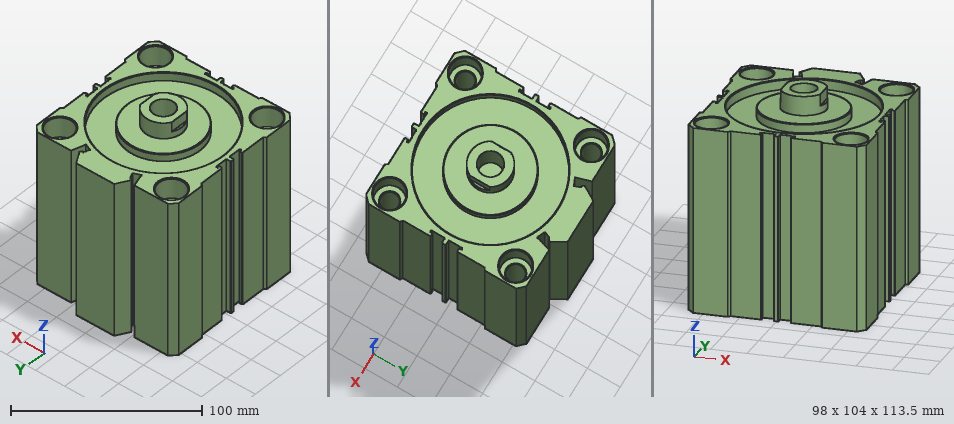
import cadquery as cq

body_width = 98.0
half_width = body_width / 2
body_height = 103.5
total_height = 113.5

corner_chamfer = 4.0
panel_recess = 1.5
panel_half_outer = 26.0
panel_half_inner = 25.0

slot_depth = 4.5
slot_mouth_half = 8.1
slot_floor_half = 9.5
lip_depth = 3.5
rib_half = 1.2
slot_edge_chamfer = 0.3

rail_height = 6.0
rail_top_half = 13.0
rail_widest_half = 17.8
rail_widest_y = 46.9
rail_step_outer_half = 17.1
rail_step_inner_half = 16.1
rail_step_y = 45.6
rail_foot_half = 14.6
rail_foot_y = 42.0
groove_bottom_half = 19.2
groove_bottom_y = 40.1
groove_mouth_half = 21.8

mount_offset = 38.5
mount_diameter = 10.4
counterbore_diameter = 17.5
counterbore_depth = 13.6
mount_chamfer = 0.5
counterbore_chamfer = 0.6

recess_radius = 41.1
recess_depth = 5.7
recess_chamfer = 0.5
boss_radius = 25.0
boss_height = 5.0
boss_chamfer = 0.5

rod_diameter = 25.0
rod_length = 39.7
rod_bore_diameter = 14.3
rod_bore_depth = 21.0
flat_width = 21.9
flat_height = 6.5


def right_half_of_plain_side():
    """Points from the middle of a side to its corner, as (along, inward) distances."""
    edge_chamfer_end = panel_recess + slot_edge_chamfer
    return [
        (rib_half - slot_edge_chamfer, panel_recess),
        (rib_half, edge_chamfer_end),
        (rib_half, slot_depth),
        (slot_floor_half, slot_depth),
        (slot_floor_half, lip_depth),
        (slot_mouth_half, lip_depth),
        (slot_mouth_half, edge_chamfer_end),
        (slot_mouth_half + slot_edge_chamfer, panel_recess),
        (panel_half_inner, panel_recess),
        (panel_half_outer, 0),
        (half_width - corner_chamfer, 0),
    ]


def plain_side():
    """The whole plain side, running from its left corner to its right corner."""
    right = right_half_of_plain_side()
    left = [(-along, inward) for along, inward in reversed(right)]
    return left + right


def rail_side():
    """The +Y side, running from +X to -X."""
    right = [
        (half_width - corner_chamfer, half_width),
        (groove_mouth_half, half_width),
        (groove_bottom_half, groove_bottom_y),
        (rail_foot_half, rail_foot_y),
        (rail_step_inner_half, rail_step_y),
        (rail_step_outer_half, rail_step_y),
        (rail_widest_half, rail_widest_y),
        (rail_top_half, half_width + rail_height),
    ]
    left = [(-x, y) for x, y in reversed(right)]
    return right + left


def housing_outline():
    """Closed outline, counterclockwise from the -Y side."""
    side = plain_side()
    front = [(along, inward - half_width) for along, inward in side]
    right = [(half_width - inward, along) for along, inward in side]
    left = [(inward - half_width, -along) for along, inward in side]
    return front + right + rail_side() + left


def cut_top_recess(body):
    """Round recess with a chamfered rim, leaving the guide boss standing in its middle."""
    recess = cq.Workplane("XY").workplane(offset=body_height - recess_depth).circle(recess_radius)
    recess = recess.extrude(recess_depth)
    rim = cq.Solid.makeCone(
        recess_radius, recess_radius + recess_chamfer, recess_chamfer,
        pnt=cq.Vector(0, 0, body_height - recess_chamfer),
    )
    boss = cq.Workplane("XY").workplane(offset=body_height - recess_depth).circle(boss_radius)
    boss = boss.extrude(boss_height).faces(">Z").edges().chamfer(boss_chamfer)
    return body.cut(recess).cut(cq.Workplane(rim)).union(boss)


def mounting_hole():
    """Cutter for one counterbored through hole with chamfered edges, centred on the Z axis."""
    mount_radius = mount_diameter / 2
    counterbore_floor = body_height - counterbore_depth
    counterbore_radius = counterbore_diameter / 2
    mouth_radius = counterbore_radius + counterbore_chamfer
    profile = [
        (0, 0),
        (mount_radius, 0),
        (mount_radius, counterbore_floor - mount_chamfer),
        (mount_radius + mount_chamfer, counterbore_floor),
        (counterbore_radius, counterbore_floor),
        (counterbore_radius, body_height - counterbore_chamfer),
        (mouth_radius, body_height),
        (0, body_height),
    ]
    return cq.Workplane("XZ").polyline(profile).close().revolve(360, (0, 0, 0), (0, 1, 0))


def rod_cylinder():
    """Plain cylinder of the rod, shared by the rod and its seat in the housing."""
    base = cq.Workplane("XY").workplane(offset=total_height - rod_length)
    return base.circle(rod_diameter / 2).extrude(rod_length)


def make_housing():
    body = cq.Workplane("XY").polyline(housing_outline()).close().extrude(body_height)
    body = cut_top_recess(body)
    for x in (-mount_offset, mount_offset):
        for y in (-mount_offset, mount_offset):
            body = body.cut(mounting_hole().translate((x, y, 0)))
    return body.cut(rod_cylinder())


def make_rod():
    rod = rod_cylinder().faces(">Z").workplane().hole(rod_bore_diameter, rod_bore_depth)
    flats_zone = cq.Workplane("XY").workplane(offset=total_height - flat_height)
    outside = flats_zone.rect(2 * rod_diameter, 2 * rod_diameter).extrude(flat_height)
    between = flats_zone.rect(flat_width, 2 * rod_diameter).extrude(flat_height)
    return rod.cut(outside.cut(between))


housing = make_housing()
rod = make_rod()

result = cq.Compound.makeCompound([housing.val(), rod.val()])